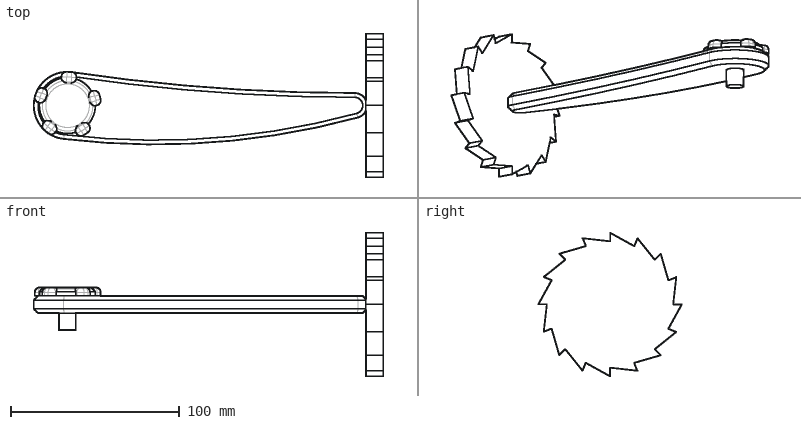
import cadquery as cq
import math

OVERALL_LENGTH = 207
HUB_RADIUS = 40.0 / 2
TIP_RADIUS = 7.5
TIP_X = 170.0
CONCAVE_EDGE_RADIUS = 1140.5
CONVEX_EDGE_RADIUS = 455.5
ARM_THICKNESS = 10.4
ARM_CHAMFER = ARM_THICKNESS / 4
ARM_TOP = ARM_THICKNESS / 2

WHEEL_TIP_RADIUS = 85.0 / 2
WHEEL_ROOT_RADIUS = 37.5
WHEEL_TEETH = 16
WHEEL_THICKNESS = 10.4
WHEEL_FACE_X = OVERALL_LENGTH - HUB_RADIUS - WHEEL_THICKNESS

KNOB_RADIUS = 16.5
KNOB_HEIGHT = 5.0
KNOB_CHAMFER = 2.5
KNOB_ROUNDING = 3.0
GRIP_COUNT = 5
GRIP_REACH = HUB_RADIUS
GRIP_SIDE = 9.0
GRIP_CORNER = 3.1
FIRST_GRIP_ANGLE = 87
PIN_PROJECTION = 10.0
PIN_RADIUS = 10.1 / 2


def tangent_arc(radius, side):
    """Hub-side, middle and tip-side points of the arc that touches the hub circle and the tip circle.

    The arc's centre lies at +Y. With side = 1 the arc passes above the two circles and curves
    away from them; with side = -1 it passes below and wraps round them.
    """
    hub_distance = radius + side * HUB_RADIUS
    tip_distance = radius + side * TIP_RADIUS
    centre_x = (hub_distance**2 - tip_distance**2 + TIP_X**2) / (2 * TIP_X)
    centre_y = math.sqrt(hub_distance**2 - centre_x**2)
    hub_point = (
        side * HUB_RADIUS * centre_x / hub_distance,
        side * HUB_RADIUS * centre_y / hub_distance,
    )
    tip_point = (
        TIP_X + side * TIP_RADIUS * (centre_x - TIP_X) / tip_distance,
        side * TIP_RADIUS * centre_y / tip_distance,
    )
    chord_x = (hub_point[0] + tip_point[0]) / 2 - centre_x
    chord_y = (hub_point[1] + tip_point[1]) / 2 - centre_y
    stretch = radius / math.hypot(chord_x, chord_y)
    middle = (centre_x + chord_x * stretch, centre_y + chord_y * stretch)
    return hub_point, middle, tip_point


def make_arm():
    upper_hub, upper_middle, upper_tip = tangent_arc(CONCAVE_EDGE_RADIUS, 1)
    lower_hub, lower_middle, lower_tip = tangent_arc(CONVEX_EDGE_RADIUS, -1)
    blank = (
        cq.Workplane("XY", origin=(0, 0, -ARM_TOP))
        .moveTo(*upper_hub)
        .threePointArc(upper_middle, upper_tip)
        .threePointArc((TIP_X + TIP_RADIUS, 0), lower_tip)
        .threePointArc(lower_middle, lower_hub)
        .threePointArc((-HUB_RADIUS, 0), upper_hub)
        .close()
        .extrude(ARM_THICKNESS)
    )
    pin_hole = cq.Workplane("XY").circle(PIN_RADIUS).extrude(ARM_TOP, both=True)
    return blank.faces("|Z").chamfer(ARM_CHAMFER).cut(pin_hole)


def make_wheel():
    """Saw-toothed disc: each tooth has one radial flank and one long sloping flank."""
    points = []
    for tooth in range(WHEEL_TEETH):
        angle = 2 * math.pi * tooth / WHEEL_TEETH
        for radius in (WHEEL_TIP_RADIUS, WHEEL_ROOT_RADIUS):
            points.append((radius * math.cos(angle), radius * math.sin(angle)))
    return (
        cq.Workplane("YZ", origin=(WHEEL_FACE_X, 0, 0))
        .polyline(points)
        .close()
        .extrude(WHEEL_THICKNESS)
    )


def make_grip(angle):
    """One square block with rounded corners and top, at the rim of the knob."""
    return (
        cq.Workplane("XY", origin=(0, 0, ARM_TOP))
        .center(GRIP_REACH - GRIP_SIDE / 2, 0)
        .rect(GRIP_SIDE, GRIP_SIDE)
        .extrude(KNOB_HEIGHT)
        .edges("|Z")
        .fillet(GRIP_CORNER)
        .faces(">Z")
        .edges()
        .fillet(KNOB_ROUNDING)
        .rotate((0, 0, 0), (0, 0, 1), angle)
    )


def make_knob():
    knob = (
        cq.Workplane("XY", origin=(0, 0, ARM_TOP))
        .circle(KNOB_RADIUS)
        .extrude(KNOB_HEIGHT)
        .faces(">Z")
        .chamfer(KNOB_CHAMFER)
        .faces(">Z")
        .edges()
        .fillet(KNOB_ROUNDING)
    )
    for index in range(GRIP_COUNT):
        knob = knob.union(make_grip(FIRST_GRIP_ANGLE + index * 360 / GRIP_COUNT))
    pin = (
        cq.Workplane("XY", origin=(0, 0, -ARM_TOP - PIN_PROJECTION))
        .circle(PIN_RADIUS)
        .extrude(PIN_PROJECTION + ARM_THICKNESS)
    )
    return knob.union(pin)


ratchet_arm = make_arm().union(make_wheel())
knob_with_pin = make_knob()

result = cq.Compound.makeCompound([ratchet_arm.val(), knob_with_pin.val()])